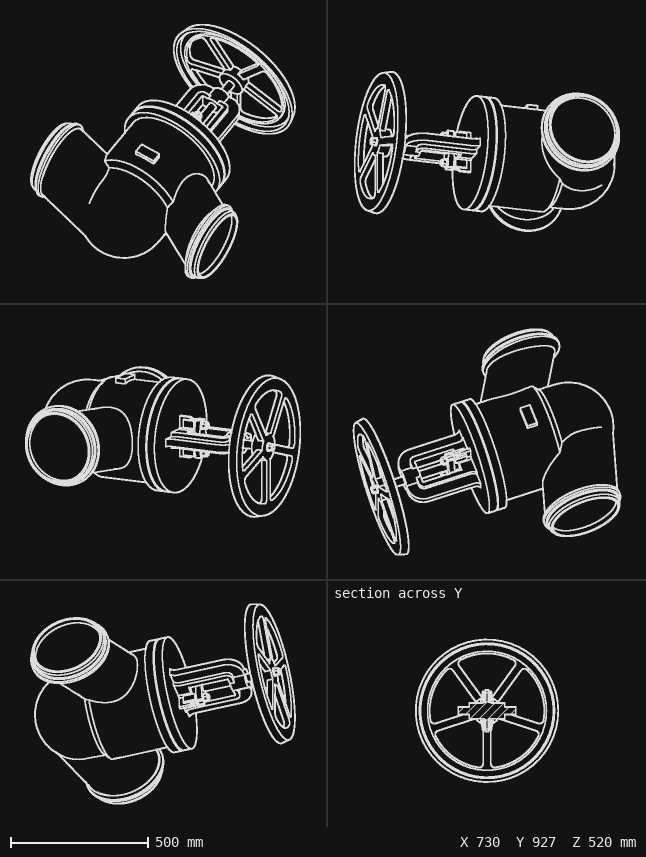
import cadquery as cq
import math


body_radius = 184.0
bowl_radius = 164.0
bowl_center_y = -67.0
body_step_y = 18.5
flange_radius = 208.5
flange_bottom_y = 248.0
flange_top_y = 315.0
gasket_radius = flange_radius - 2.0
gasket_thickness = 3.0
gasket_y = 282.0

port_half_span = 365.0
port_end_radius = 132.0
port_land_radius = 137.0
port_land_length = 25.0
port_chamfer = 9.0
bead_shoulder_radius = 141.0
bead_shoulder_length = 4.0
bead_radius = 148.0
bead_start = 33.0
bead_length = 9.0
bead_root = 50.0
bore_radius = 126.0
bore_depth = 21.0
pipe_bend_x = 322.0
inlet_radius = 135.0
inlet_slope = 16.0
inlet_inner_x = 0.0
outlet_radius = 115.0
outlet_slope = 30.0
outlet_inner_x = 46.0
outlet_flare_angle = 30.0

pad_length = 78.0
pad_width = 38.0
pad_center_y = 88.0
pad_top_z = 198.0

yoke_top_y = 573.0
plate_half_width = 106.0
plate_corner_radius = 59.0
plate_thickness = 28.0
frame_top_y = 530.0
frame_half_width = 65.0
frame_corner_radius = 20.0
frame_thickness = 58.0
foot_height = 21.0
foot_flare = 11.0
window_width = 89.0
window_bottom_y = 364.0
window_top_y = 513.0
boss_radius = 35.0

stem_radius = 15.0
stem_top_y = 696.0
wheel_diameter = 520.0
wheel_back_radius = 253.0
wheel_front_y = 646.0
wheel_back_y = 675.0
rim_lip_radius = 246.0
rim_floor_radius = 242.0
rim_inner_lip_radius = 217.0
rim_inner_radius = 208.5
rim_floor_depth = 18.5
rim_inner_lip_depth = 8.0
hub_radius = 50.0
hub_front_y = 632.0
spoke_count = 5
spoke_width = 29.0
spoke_depth = 21.0
spoke_fillet = 14.0
wheel_nut_flats = 23.0
wheel_nut_chamfer = 3.0
wheel_washer_thickness = 3.0

housing_radius = 33.0
housing_top_y = 363.0
sleeve_radius = 23.0
gland_bottom_y = 384.0
gland_top_y = 406.0
gland_half_length = 70.0
gland_mid_half_width = 29.0
gland_end_half_width = 16.0
bolt_z = 52.0
bolt_radius = 8.8
bolt_top_y = 427.0
gland_slot_width = 19.0
washer_radius = 16.0
washer_thickness = 3.0
nut_flats = 25.0
nut_top_y = 422.5
fork_width = 34.0
fork_depth = 30.0
fork_bottom_y = 334.0
fork_top_y = 377.0
fork_slot_width = 18.0
fork_slot_top_y = 370.0
lug_thickness = 11.0
lug_outer_z = 76.0
lug_chamfer = 8.0


def cylinder_y(radius, y_start, y_end, x=0, z=0):
    """Cylinder parallel to Y."""
    return cq.Workplane(cq.Solid.makeCylinder(
        radius, y_end - y_start, cq.Vector(x, y_start, z), cq.Vector(0, 1, 0)))


def box_between(x_range, y_range, z_range):
    """Axis-aligned box given by its limits."""
    sizes = [high - low for low, high in (x_range, y_range, z_range)]
    corner = (x_range[0], y_range[0], z_range[0])
    return cq.Workplane("XY").box(*sizes, centered=False).translate(corner)


def hex_prism_y(flats, y_start, y_end, z=0):
    """Hexagonal prism parallel to Y, with its corners pointing along Z."""
    corner_diameter = flats / math.cos(math.pi / 6)
    return (
        cq.Workplane("XZ")
        .polygon(6, corner_diameter)
        .extrude(-(y_end - y_start))
        .rotate((0, 0, 0), (0, 1, 0), 90)
        .translate((0, y_start, z))
    )


def make_body():
    """Stepped barrel with bonnet flanges and a hemispherical bowl."""
    cone_bottom_y = body_step_y - (body_radius - bowl_radius)
    gasket_low = gasket_y - gasket_thickness / 2
    gasket_high = gasket_y + gasket_thickness / 2
    bowl_45 = bowl_radius * math.sqrt(0.5)
    return (
        cq.Workplane("XY")
        .moveTo(0, bowl_center_y - bowl_radius)
        .threePointArc((bowl_45, bowl_center_y - bowl_45), (bowl_radius, bowl_center_y))
        .lineTo(bowl_radius, cone_bottom_y)
        .lineTo(body_radius, body_step_y)
        .lineTo(body_radius, flange_bottom_y)
        .lineTo(flange_radius, flange_bottom_y)
        .lineTo(flange_radius, gasket_low)
        .lineTo(gasket_radius, gasket_low)
        .lineTo(gasket_radius, gasket_high)
        .lineTo(flange_radius, gasket_high)
        .lineTo(flange_radius, flange_top_y)
        .lineTo(0, flange_top_y)
        .close()
        .revolve(360, (0, 0), (0, 1))
    )


def make_port_rim(side, root_radius, root_distance):
    """Weld end with a bead, turned about X; side is -1 or +1, distances run inward from the end."""
    profile = [
        (0, 0),
        (0, port_end_radius),
        (port_chamfer, port_land_radius),
        (port_land_length, port_land_radius),
        (port_land_length, bead_shoulder_radius),
        (port_land_length + bead_shoulder_length, bead_shoulder_radius),
        (bead_start, bead_radius),
        (bead_start + bead_length, bead_radius),
        (root_distance, root_radius),
        (root_distance, 0),
    ]
    points = [(side * (port_half_span - inward), radius) for inward, radius in profile]
    return cq.Workplane("XY").polyline(points).close().revolve(360, (0, 0), (1, 0))


def make_pipe(side, radius, slope, end_x, limit_x):
    """Slanted pipe through the bend point, from the port in to end_x along X, cut square at limit_x."""
    rise = side * math.tan(math.radians(slope))
    axis = cq.Vector(-side, rise, 0).normalized()
    overrun = radius
    start = cq.Vector(side * pipe_bend_x, 0, 0) - axis * overrun
    length = overrun + (pipe_bend_x - end_x) / math.cos(math.radians(slope))
    pipe = cq.Workplane(cq.Solid.makeCylinder(radius, length, start, axis))
    reach = port_half_span
    x_range = sorted((-side * reach, side * limit_x))
    return pipe.intersect(box_between(x_range, (-reach, reach), (-reach, reach)))


def make_inlet():
    """Port facing -X, with its pipe falling to the bowl."""
    rim = make_port_rim(-1, inlet_radius, bead_root)
    pipe = make_pipe(-1, inlet_radius, inlet_slope, inlet_inner_x, port_half_span - bead_root)
    return rim.union(pipe)


def make_outlet():
    """Port facing +X, flaring from a narrower pipe that rises into the barrel."""
    flare_start = bead_start + bead_length
    flare_tip_radius = outlet_radius / 2
    flare_length = (bead_radius - flare_tip_radius) * math.tan(math.radians(outlet_flare_angle))
    rim = make_port_rim(1, flare_tip_radius, flare_start + flare_length)
    pipe = make_pipe(1, outlet_radius, outlet_slope, outlet_inner_x, port_half_span - flare_start)
    return rim.union(pipe)


def port_bore(side):
    start = cq.Vector(side * port_half_span, 0, 0)
    return cq.Workplane(cq.Solid.makeCylinder(bore_radius, bore_depth, start, cq.Vector(-side, 0, 0)))


def make_pad():
    return box_between(
        (-pad_length / 2, pad_length / 2),
        (pad_center_y - pad_width / 2, pad_center_y + pad_width / 2),
        (body_radius / 2, pad_top_z),
    )


def arch_plate(half_width, top_y, corner_radius, thickness):
    """Round-shouldered plate centred on Z = 0 with flared feet on the flange."""
    foot_y = flange_top_y + foot_height
    shoulder_x = half_width - corner_radius
    shoulder_y = top_y - corner_radius
    flare_radius = (foot_flare**2 + foot_height**2) / (2 * foot_flare)
    return (
        cq.Workplane("XY")
        .moveTo(-half_width - foot_flare, flange_top_y)
        .radiusArc((-half_width, foot_y), -flare_radius)
        .lineTo(-half_width, shoulder_y)
        .radiusArc((-shoulder_x, top_y), corner_radius)
        .lineTo(shoulder_x, top_y)
        .radiusArc((half_width, shoulder_y), corner_radius)
        .lineTo(half_width, foot_y)
        .radiusArc((half_width + foot_flare, flange_top_y), -flare_radius)
        .close()
        .extrude(thickness / 2, both=True)
    )


def make_yoke():
    plate = arch_plate(plate_half_width, yoke_top_y, plate_corner_radius, plate_thickness)
    frame = arch_plate(frame_half_width, frame_top_y, frame_corner_radius, frame_thickness)
    window = box_between(
        (-window_width / 2, window_width / 2),
        (window_bottom_y, window_top_y),
        (-frame_thickness, frame_thickness),
    )
    boss = cylinder_y(boss_radius, window_top_y, yoke_top_y)
    return plate.union(frame).cut(window).union(boss)


def make_rim():
    """Handwheel rim: a tapered ring with a channel in its front face."""
    floor_y = wheel_front_y + rim_floor_depth
    inner_lip_y = wheel_front_y + rim_inner_lip_depth
    points = [
        (rim_inner_radius, wheel_back_y),
        (wheel_back_radius, wheel_back_y),
        (wheel_diameter / 2, wheel_front_y),
        (rim_lip_radius, wheel_front_y),
        (rim_floor_radius, floor_y),
        (rim_inner_lip_radius, floor_y),
        (rim_inner_lip_radius, inner_lip_y),
        (rim_inner_radius, inner_lip_y),
    ]
    return cq.Workplane("XY").polyline(points).close().revolve(360, (0, 0), (0, 1))


def make_spokes():
    """Spokes left between round-cornered windows; the hub covers where they meet."""
    spoke_front_y = wheel_back_y - spoke_depth
    disc = cylinder_y(rim_inner_radius, spoke_front_y, wheel_back_y)
    opening = cylinder_y(rim_inner_radius, spoke_front_y, wheel_back_y)
    for index in range(spoke_count):
        bar = box_between(
            (-spoke_width / 2, spoke_width / 2),
            (spoke_front_y, wheel_back_y),
            (-wheel_diameter / 2, 0),
        )
        opening = opening.cut(bar.rotate((0, 0, 0), (0, 1, 0), index * 360 / spoke_count))
    opening = opening.edges("|Y").fillet(spoke_fillet)
    return disc.cut(opening)


def make_handwheel():
    hub = cylinder_y(hub_radius, hub_front_y, wheel_back_y)
    washer = cylinder_y(stem_radius, wheel_back_y, wheel_back_y + wheel_washer_thickness)
    nut = hex_prism_y(wheel_nut_flats, wheel_back_y, stem_top_y).faces(">Y").chamfer(wheel_nut_chamfer)
    return make_rim().union(make_spokes()).union(hub).union(washer).union(nut)


def make_gland():
    """Packing housing, sleeve and the tapered gland flange with a bolt slot at each end."""
    housing = cylinder_y(housing_radius, flange_top_y, housing_top_y)
    sleeve = cylinder_y(sleeve_radius, housing_top_y, gland_bottom_y)
    corners = [
        (gland_mid_half_width, 0),
        (gland_end_half_width, gland_half_length),
        (-gland_end_half_width, gland_half_length),
        (-gland_mid_half_width, 0),
        (-gland_end_half_width, -gland_half_length),
        (gland_end_half_width, -gland_half_length),
    ]
    flange = (
        cq.Workplane("XZ", origin=(0, gland_bottom_y, 0))
        .polyline(corners)
        .close()
        .extrude(gland_bottom_y - gland_top_y)
    )
    for z_range in ((bolt_z, gland_half_length), (-gland_half_length, -bolt_z)):
        flange = flange.cut(box_between(
            (-gland_slot_width / 2, gland_slot_width / 2), (gland_bottom_y, gland_top_y), z_range))
    return housing.union(sleeve).union(flange)


def make_gland_bolt():
    """Fork bolt on the +Z side with its nut and washer, straddling a lug on the flange."""
    fork = box_between(
        (-fork_width / 2, fork_width / 2),
        (fork_bottom_y, fork_top_y),
        (bolt_z - fork_depth / 2, bolt_z + fork_depth / 2),
    )
    slot = box_between(
        (-fork_slot_width / 2, fork_slot_width / 2),
        (fork_bottom_y, fork_slot_top_y),
        (0, lug_outer_z),
    )
    lug = box_between(
        (-lug_thickness / 2, lug_thickness / 2),
        (flange_top_y, housing_top_y),
        (0, lug_outer_z),
    ).edges(">Y and >Z").chamfer(lug_chamfer)
    shank = cylinder_y(bolt_radius, fork_slot_top_y, bolt_top_y, z=bolt_z)
    washer = cylinder_y(washer_radius, gland_top_y, gland_top_y + washer_thickness, z=bolt_z)
    nut = hex_prism_y(nut_flats, gland_top_y, nut_top_y, z=bolt_z)
    return fork.cut(slot).union(lug).union(shank).union(washer).union(nut)


stem = cylinder_y(stem_radius, flange_top_y, wheel_back_y)
gland_bolt = make_gland_bolt()

result = make_body().union(make_inlet()).union(make_outlet()).union(make_pad())
for side in (-1, 1):
    result = result.cut(port_bore(side))
result = result.union(make_yoke()).union(stem).union(make_handwheel()).union(make_gland())
result = result.union(gland_bolt).union(gland_bolt.mirror("XY"))